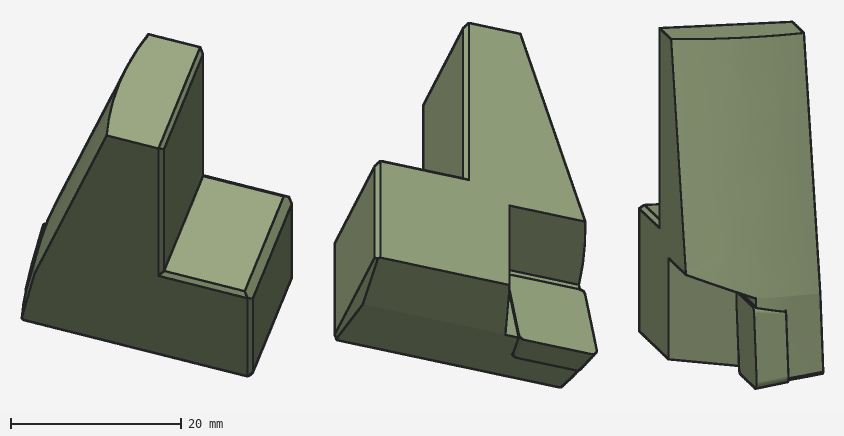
import cadquery as cq
import math

height = 40.0
length = 29.9
width = 16.0
half_width = width / 2
column_back = 18.9
shelf_height = 16.5
edge_chamfer = 0.5
corner_chamfer = 1.0

crown_top = 11.0
crown_bow = 1.0
crown_break = 10.5
upper_lean = 16.8
lower_lean = 10.0

keel_height = 0.5
side_height = 1.2
nose_chamfer = 0.3

insert_side = 9.7
insert_corner_angle = 80.0
insert_corner_radius = 0.7
insert_clearance = 7.0
rake_y = 0.35
insert_thickness = 3.95

pocket_side_height = 13.35
pocket_wall_x = 11.2
pocket_wall_lean = 15.0

crown_middle_x = crown_top - (height - crown_break) * math.tan(math.radians(upper_lean))
crown_foot_x = crown_middle_x - crown_break * math.tan(math.radians(lower_lean))


def flank_section(middle_x, z):
    """Horizontal section of the holder with its bowed front, at height z."""
    side_x = middle_x + crown_bow
    return (
        cq.Workplane("XY", origin=(0, 0, z))
        .moveTo(length, -half_width)
        .lineTo(side_x, -half_width)
        .threePointArc((middle_x, 0), (side_x, half_width))
        .lineTo(length, half_width)
        .close()
        .wires()
        .val()
    )


def flank_block(lower, upper):
    return cq.Workplane(cq.Solid.makeLoft([lower, upper], True))


def make_blank():
    """Block with the two leaning, bowed front flanks."""
    foot = flank_section(crown_foot_x, 0)
    middle = flank_section(crown_middle_x, crown_break)
    top = flank_section(crown_top, height)
    return flank_block(foot, middle).union(flank_block(middle, top))


def make_relieved_side():
    """Prism along X with a shallow V bottom."""
    return (
        cq.Workplane("YZ")
        .polyline([
            (-half_width, height),
            (-half_width, side_height),
            (0, keel_height),
            (half_width, side_height),
            (half_width, height),
        ])
        .close()
        .extrude(length)
    )


def make_rear_step():
    """Material removed above the shelf."""
    return (
        cq.Workplane("XY", origin=(column_back, -half_width, shelf_height))
        .box(length - column_back, width, height - shelf_height, centered=False)
    )


def chamfer_step_sides(body):
    """Chamfer the side edges of the column back, the shelf and the rear end."""
    side_edges = body.faces("<Y or >Y").edges("|X or |Z").vals()
    step_edges = [edge for edge in side_edges if edge.BoundingBox().xmin > column_back - edge_chamfer]
    return body.newObject(step_edges).chamfer(edge_chamfer)


def chamfer_nose(body):
    """Bevel the lower front edge on the -Y half."""
    nose_edge = cq.selectors.BoxSelector(
        (0, -half_width + edge_chamfer, 0),
        (crown_middle_x, -edge_chamfer, side_height),
        boundingbox=False,
    )
    return body.edges(nose_edge).chamfer(nose_chamfer)


def make_rear_bevel(x, z, size, direction):
    """Prism along Y that bevels the rear edge at (x, z); direction is the Z sense into the body."""
    return (
        cq.Workplane("XZ", origin=(0, half_width, 0))
        .polyline([
            (x, z),
            (x - size, z),
            (x, z + direction * size),
        ])
        .close()
        .extrude(width)
    )


def insert_section(depth):
    """Rounded rhombus of the insert, at the given depth below the rake face."""
    angle = math.radians(insert_corner_angle)
    inset = depth * math.tan(math.radians(insert_clearance))
    side = insert_side - 2 * inset / math.sin(angle)
    start_x = insert_corner_radius * (1 - 1 / math.tan(angle / 2)) + inset / math.tan(angle / 2)
    rise_x = side * math.cos(angle)
    rise_z = side * math.sin(angle)
    rhombus = (
        cq.Workplane("XZ", origin=(0, rake_y - depth, 0))
        .polyline([
            (start_x, inset),
            (start_x + side, inset),
            (start_x + side + rise_x, inset + rise_z),
            (start_x + rise_x, inset + rise_z),
        ])
        .close()
        .wires()
        .val()
    )
    return rhombus.fillet2D(insert_corner_radius, rhombus.Vertices())


def make_insert():
    """Rhombic insert that tapers away from the rake face, with constant corner radii."""
    sections = [insert_section(0), insert_section(insert_thickness)]
    return cq.Workplane(cq.Solid.makeLoft(sections, True))


def make_chip_pocket():
    """Open pocket around the rake face with a sloping ceiling and a leaning rear wall."""
    wall_side_x = pocket_wall_x + half_width * math.tan(math.radians(pocket_wall_lean))
    ceiling = (
        cq.Workplane("YZ")
        .polyline([
            (0, 0),
            (half_width, 0),
            (half_width, pocket_side_height),
            (0, crown_break),
        ])
        .close()
        .extrude(length)
    )
    plan = (
        cq.Workplane("XY")
        .polyline([
            (0, 0),
            (pocket_wall_x, 0),
            (wall_side_x, half_width),
            (0, half_width),
        ])
        .close()
        .extrude(height)
    )
    return ceiling.intersect(plan)


insert = make_insert()
holder = make_blank().intersect(make_relieved_side()).cut(make_rear_step())
holder = chamfer_step_sides(holder)
holder = holder.cut(make_rear_bevel(length, shelf_height, corner_chamfer, -1))
holder = holder.cut(make_rear_bevel(length, keel_height, corner_chamfer, 1))
holder = holder.cut(make_rear_bevel(column_back, height, edge_chamfer, -1))
holder = holder.cut(make_chip_pocket())
holder = chamfer_nose(holder).cut(insert)

result = cq.Compound.makeCompound([holder.val(), insert.val()])